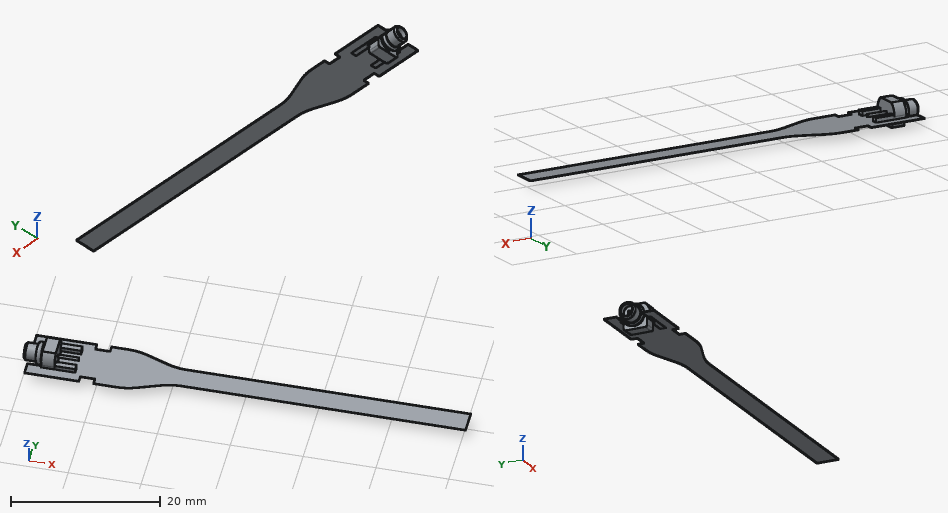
import cadquery as cq
import math


total_length = 60.8
strip_start = 0.7
strip_thickness = 0.09
strip_top = -0.395
head_width = 7.5
tail_width = 3.2
head_half_width = head_width / 2
tail_half_width = tail_width / 2
taper_start = 14.7
taper_end = 20.4
taper_blend_radius = 7.3
mouth_half_width = 1.9
mouth_end = 4.6
notch_length = 2.0
notch_depth = 0.9
left_notch_start = 9.0
right_notch_start = 8.2

block_start = 2.7
block_end = 4.5
block_half_height = 1.75
dome_radius = 2.25
lower_half_width = 1.75
lower_edge_radius = 0.3

nose_radius = 1.2
tip_chamfer = 0.275
collar_start = 1.7
collar_end = 2.45
collar_edge_radius = 1.35
collar_peak_radius = 1.6
relief_radius = 1.3
bore_radius = 0.85
bore_depth = 0.9
contact_hole_radius = 0.25
contact_hole_depth = 0.6

leg_end = 7.35
leg_inner_offset = 1.4
leg_top = 0.25
contact_radius = 0.21


def box_between(x_range, y_range, z_range):
    """Box spanning the given coordinate ranges."""
    return (
        cq.Workplane("XY", origin=(x_range[0], y_range[0], z_range[0]))
        .box(
            x_range[1] - x_range[0],
            y_range[1] - y_range[0],
            z_range[1] - z_range[0],
            centered=False,
        )
    )


def cylinder_along_x(start, end, radius):
    """Cylinder on the connector axis."""
    return cq.Workplane("YZ", origin=(start, 0, 0)).circle(radius).extrude(end - start)


def make_strip():
    """Flat strip: wide notched head with an open mouth, tapering to a tail."""
    bottom = strip_top - strip_thickness
    z_range = (bottom, strip_top)
    strip = (
        cq.Workplane("XY", origin=(0, 0, bottom))
        .moveTo(strip_start, -head_half_width)
        .lineTo(taper_start, -head_half_width)
        .lineTo(taper_end, -tail_half_width)
        .lineTo(total_length, -tail_half_width)
        .lineTo(total_length, tail_half_width)
        .lineTo(taper_end, tail_half_width)
        .lineTo(taper_start, head_half_width)
        .lineTo(strip_start, head_half_width)
        .close()
        .extrude(strip_thickness)
    )
    margin = 0.6
    taper_corners = cq.selectors.BoxSelector(
        (taper_start - margin, -head_half_width - margin, bottom - margin),
        (taper_end + margin, head_half_width + margin, strip_top + margin),
    )
    strip = strip.edges("|Z").edges(taper_corners).fillet(taper_blend_radius)

    mouth = box_between((strip_start, mouth_end), (-mouth_half_width, mouth_half_width), z_range)
    notch_floor = head_half_width - notch_depth
    left_notch = box_between(
        (left_notch_start, left_notch_start + notch_length), (notch_floor, head_half_width), z_range
    )
    right_notch = box_between(
        (right_notch_start, right_notch_start + notch_length), (-head_half_width, -notch_floor), z_range
    )
    return strip.cut(mouth).cut(left_notch).cut(right_notch)


def make_block():
    """Flat-topped dome resting on the strip, with a narrower base through the mouth."""
    flat_half_width = math.sqrt(dome_radius**2 - block_half_height**2)
    arc_middle_angle = math.asin(block_half_height / dome_radius) / 2
    arc_middle_y = dome_radius * math.cos(arc_middle_angle)
    arc_middle_z = dome_radius * math.sin(arc_middle_angle)
    upper = (
        cq.Workplane("YZ", origin=(block_start, 0, 0))
        .moveTo(-dome_radius, strip_top)
        .lineTo(dome_radius, strip_top)
        .lineTo(dome_radius, 0)
        .threePointArc((arc_middle_y, arc_middle_z), (flat_half_width, block_half_height))
        .lineTo(-flat_half_width, block_half_height)
        .threePointArc((-arc_middle_y, arc_middle_z), (-dome_radius, 0))
        .close()
        .extrude(block_end - block_start)
    )
    lower = box_between(
        (block_start, block_end), (-lower_half_width, lower_half_width), (-block_half_height, 0)
    )
    lower = lower.edges("|X and <Z").fillet(lower_edge_radius)
    return upper.union(lower)


def make_nose():
    """Turned nose with a chamfered tip and a rounded collar in front of the block."""
    collar_middle = (collar_start + collar_end) / 2
    return (
        cq.Workplane("XY")
        .lineTo(0, nose_radius - tip_chamfer)
        .lineTo(tip_chamfer, nose_radius)
        .lineTo(collar_start, nose_radius)
        .lineTo(collar_start, collar_edge_radius)
        .threePointArc((collar_middle, collar_peak_radius), (collar_end, collar_edge_radius))
        .lineTo(collar_end, relief_radius)
        .lineTo(block_start, relief_radius)
        .lineTo(block_start, 0)
        .close()
        .revolve(360, (0, 0, 0), (1, 0, 0))
    )


def make_connector():
    """Connector: block, nose, two solder legs and the centre contact."""
    connector = make_block().union(make_nose())
    for y_range in ((-dome_radius, -leg_inner_offset), (leg_inner_offset, dome_radius)):
        leg = box_between((block_end, leg_end), y_range, (strip_top, leg_top))
        connector = connector.union(leg)
    connector = connector.union(cylinder_along_x(block_end, leg_end, contact_radius))
    connector = connector.cut(cylinder_along_x(0, bore_depth, bore_radius))
    contact_hole = cylinder_along_x(bore_depth, bore_depth + contact_hole_depth, contact_hole_radius)
    return connector.cut(contact_hole)


strip = make_strip()
connector = make_connector()

result = cq.Compound.makeCompound([strip.solids().val(), connector.solids().val()])